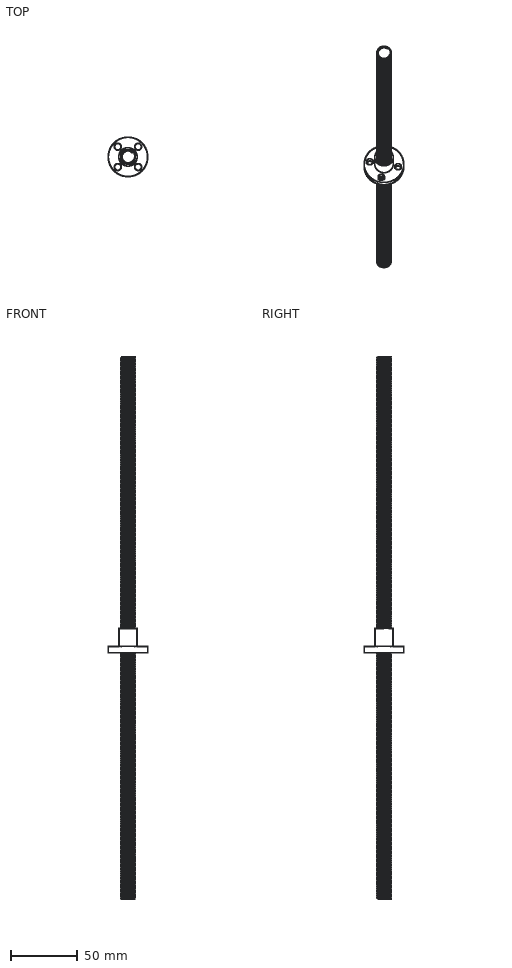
import cadquery as cq

SCREW_LENGTH = 408.0
SCREW_DIAMETER = 11.0

THREAD_TURNS = 240
THREAD_PITCH = SCREW_LENGTH / THREAD_TURNS
THREAD_DEPTH = 0.6 * THREAD_PITCH
CREST_RADIUS = SCREW_DIAMETER / 2
ROOT_RADIUS = CREST_RADIUS - THREAD_DEPTH
CREST_WIDTH = THREAD_PITCH / 8
ROOT_WIDTH = THREAD_PITCH / 4
FLANK_WIDTH = (THREAD_PITCH - CREST_WIDTH - ROOT_WIDTH) / 2
THREAD_ANGLE = 90.0
TURNS_PER_LENGTH = 6

FLANGE_DIAMETER = 29.8
FLANGE_THICKNESS = 5.0
BOSS_DIAMETER = 14.0
NUT_HEIGHT = 18.5
NUT_BOTTOM_Z = -18.8

HOLE_COUNT = 4
HOLE_DIAMETER = 5.0
HOLE_CIRCLE_DIAMETER = 21.5
FIRST_HOLE_ANGLE = 45.0


def thread_skin(height):
    """Open skin of a thread: crest, root and flanks, trimmed flat at Z = 0 and at this height."""
    helix_bottom = -2 * THREAD_PITCH
    helix_height = height + 3 * THREAD_PITCH

    def helix(radius, offset):
        start = cq.Vector(0, 0, helix_bottom + offset)
        return cq.Wire.makeHelix(THREAD_PITCH, helix_height, radius, start).Edges()[0]

    root_bottom = CREST_WIDTH + FLANK_WIDTH
    borders = [
        helix(CREST_RADIUS, 0),
        helix(CREST_RADIUS, CREST_WIDTH),
        helix(ROOT_RADIUS, root_bottom),
        helix(ROOT_RADIUS, root_bottom + ROOT_WIDTH),
        helix(CREST_RADIUS, THREAD_PITCH),
    ]
    bands = [cq.Face.makeRuledSurface(low, high) for low, high in zip(borders, borders[1:])]
    trim = cq.Solid.makeCylinder(SCREW_DIAMETER, height)
    return cq.Workplane(cq.Compound.makeCompound(bands).intersect(trim))


def make_screw():
    """Threaded rod: equal lengths of thread skin, stacked and closed by two flat ends."""
    length = TURNS_PER_LENGTH * THREAD_PITCH
    skin = thread_skin(length)
    bottom = cq.Face.makeFromWires(cq.Wire.assembleEdges(skin.edges("<Z").vals()))
    top = bottom.translate(cq.Vector(0, 0, SCREW_LENGTH))
    faces = [bottom, top]
    for i in range(THREAD_TURNS // TURNS_PER_LENGTH):
        faces += skin.translate((0, 0, i * length)).faces().vals()
    rod = cq.Workplane(cq.Solid.makeSolid(cq.Shell.makeShell(faces)))
    return rod.translate((0, 0, -SCREW_LENGTH / 2)).rotate((0, 0, 0), (0, 0, 1), THREAD_ANGLE)


def make_nut():
    """Flange with a boss above it, a bore that fits the screw crests and a ring of holes."""
    flange = cq.Workplane("XY").circle(FLANGE_DIAMETER / 2).extrude(FLANGE_THICKNESS)
    boss = cq.Workplane("XY").circle(BOSS_DIAMETER / 2).extrude(NUT_HEIGHT)
    bore = cq.Workplane("XY").circle(SCREW_DIAMETER / 2).extrude(NUT_HEIGHT)
    holes = (
        cq.Workplane("XY")
        .polarArray(HOLE_CIRCLE_DIAMETER / 2, FIRST_HOLE_ANGLE, 360, HOLE_COUNT)
        .circle(HOLE_DIAMETER / 2)
        .extrude(FLANGE_THICKNESS)
    )
    nut = flange.union(boss).cut(bore).cut(holes)
    return nut.translate((0, 0, NUT_BOTTOM_Z))


screw = make_screw()
nut = make_nut()

result = cq.Compound.makeCompound([screw.val(), nut.val()])